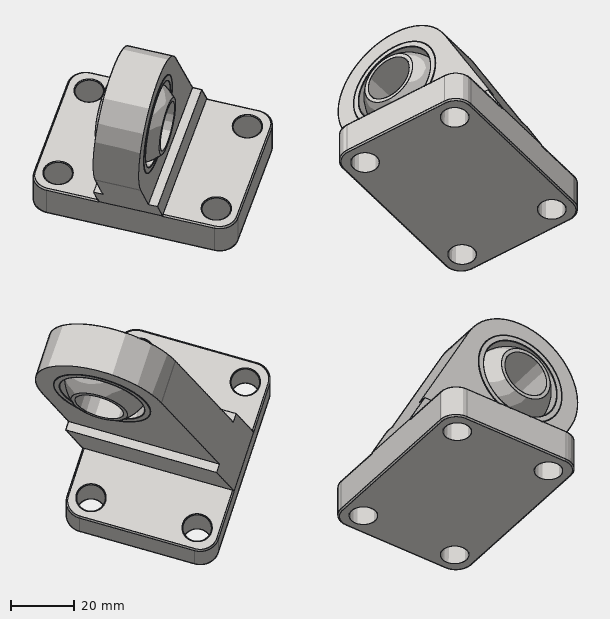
import cadquery as cq
import math

base_length = 67.0
base_width = 49.95
base_height = 12.0
corner_radius = 6.0
edge_chamfer = 0.5

hole_diameter = 9.0
hole_spacing_x = 51.95
hole_spacing_y = 35.0
hole_chamfer = 0.3
hole_chamfer_angle = 90

overall_height = 72.0
eye_radius = 22.0
eye_y = -19.5
eye_z = overall_height - eye_radius
lug_thickness = 15.0
foot_thickness = 21.0
foot_top = 22.95

race_diameter = 32.0
race_bore_diameter = 28.0
race_edge_chamfer = 0.15
ball_diameter = 28.1
ball_bore_diameter = 16.0
ball_width = foot_thickness


def tangent_point(y, z, side):
    """Point where the line from (y, z) touches the eye circle; side is +1 (back) or -1 (front)."""
    distance = math.hypot(y - eye_y, z - eye_z)
    start_angle = math.atan2(z - eye_z, y - eye_y)
    angle = start_angle + side * math.acos(eye_radius / distance)
    return (eye_y + eye_radius * math.cos(angle), eye_z + eye_radius * math.sin(angle))


def make_base():
    plate = (
        cq.Workplane("XY")
        .rect(base_length, base_width)
        .extrude(base_height)
        .edges("|Z")
        .fillet(corner_radius)
        .faces("<Z or >Z")
        .edges()
        .chamfer(edge_chamfer)
    )
    return (
        plate.faces(">Z")
        .workplane(origin=(0, 0, base_height))
        .rect(hole_spacing_x, hole_spacing_y, forConstruction=True)
        .vertices()
        .cskHole(hole_diameter, hole_diameter + 2 * hole_chamfer, hole_chamfer_angle)
    )


def make_lug():
    half_width = base_width / 2
    slope_start = base_height - edge_chamfer / 2
    profile = (
        cq.Workplane("YZ", origin=(-foot_thickness / 2, 0, 0))
        .moveTo(-half_width, edge_chamfer)
        .lineTo(half_width, edge_chamfer)
        .lineTo(half_width, slope_start)
        .lineTo(*tangent_point(half_width, slope_start, 1))
        .threePointArc((eye_y, overall_height), tangent_point(-half_width, slope_start, -1))
        .lineTo(-half_width, slope_start)
        .close()
    )
    lug = profile.extrude(foot_thickness)

    relief_length = 2 * base_width
    relief_depth = (foot_thickness - lug_thickness) / 2
    relief_x = (foot_thickness + lug_thickness) / 4
    for side in (-1, 1):
        relief = (
            cq.Workplane("XY", origin=(side * relief_x, 0, foot_top))
            .rect(relief_depth, relief_length)
            .extrude(overall_height)
        )
        lug = lug.cut(relief)
    return lug


def make_bracket():
    seat = (
        cq.Workplane("YZ", origin=(-foot_thickness / 2, eye_y, eye_z))
        .circle(race_diameter / 2)
        .extrude(foot_thickness)
    )
    return make_base().union(make_lug()).cut(seat)


def make_bearing():
    """Race and ball turned in one piece; profile X is the eye axis and profile Y the radius."""
    ball_radius = ball_diameter / 2
    bore_radius = ball_bore_diameter / 2
    race_radius = race_diameter / 2
    race_bore_radius = race_bore_diameter / 2
    half_ball = ball_width / 2
    half_race = lug_thickness / 2
    ball_end_radius = math.sqrt(ball_radius**2 - half_ball**2)
    half_band = math.sqrt(ball_radius**2 - race_bore_radius**2)
    arc_x = (half_ball + half_band) / 2
    arc_radius = math.sqrt(ball_radius**2 - arc_x**2)

    profile = (
        cq.Workplane("XY", origin=(0, eye_y, eye_z))
        .moveTo(-half_ball, bore_radius)
        .lineTo(-half_ball, ball_end_radius)
        .threePointArc((-arc_x, arc_radius), (-half_band, race_bore_radius))
        .lineTo(-half_race + race_edge_chamfer, race_bore_radius)
        .lineTo(-half_race, race_bore_radius + race_edge_chamfer)
        .lineTo(-half_race, race_radius - race_edge_chamfer)
        .lineTo(-half_race + race_edge_chamfer, race_radius)
        .lineTo(half_race - race_edge_chamfer, race_radius)
        .lineTo(half_race, race_radius - race_edge_chamfer)
        .lineTo(half_race, race_bore_radius + race_edge_chamfer)
        .lineTo(half_race - race_edge_chamfer, race_bore_radius)
        .lineTo(half_band, race_bore_radius)
        .threePointArc((arc_x, arc_radius), (half_ball, ball_end_radius))
        .lineTo(half_ball, bore_radius)
        .close()
    )
    return profile.revolve(360, (0, 0, 0), (1, 0, 0))


bracket = make_bracket()
bearing = make_bearing()

result = cq.Compound.makeCompound([bracket.val(), bearing.val()])